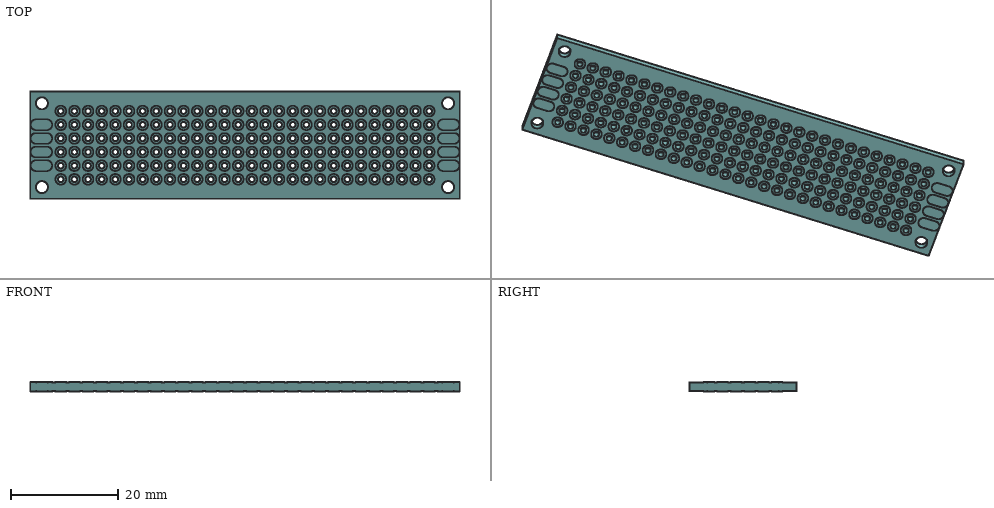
import cadquery as cq

length = 80.0
width = 20.0
overall_thickness = 1.8

pad_height = 0.1
board_thickness = overall_thickness - 2 * pad_height

grid_pitch = 2.54
grid_columns = 28
grid_rows = 6
pad_diameter = 2.0
pin_hole_diameter = 1.0

end_pad_length = 4.0
end_pad_width = pad_diameter
end_pad_rows = grid_rows - 2
end_pad_edge_gap = 0.1
end_pad_x = length / 2 - end_pad_edge_gap - end_pad_length / 2

mount_hole_diameter = 2.2
mount_hole_inset = 2.2


def make_board():
    """Plain rectangular board, centred on the origin."""
    return cq.Workplane("XY").box(length, width, board_thickness)


def make_pads(bottom):
    """Round grid pads and long end pads, standing on the plane z = bottom."""
    plane = cq.Workplane("XY").workplane(offset=bottom)
    round_pads = (
        plane.rarray(grid_pitch, grid_pitch, grid_columns, grid_rows)
        .circle(pad_diameter / 2)
        .extrude(pad_height)
    )
    end_pads = (
        plane.rarray(2 * end_pad_x, grid_pitch, 2, end_pad_rows)
        .slot2D(end_pad_length, end_pad_width)
        .extrude(pad_height)
    )
    return round_pads.add(end_pads).combine()


def drill_pin_holes(body):
    """Through hole in the middle of every round pad."""
    holes = (
        cq.Workplane("XY")
        .workplane(offset=-overall_thickness / 2)
        .rarray(grid_pitch, grid_pitch, grid_columns, grid_rows)
        .circle(pin_hole_diameter / 2)
        .extrude(overall_thickness)
    )
    return body.cut(holes)


def drill_mount_holes(body):
    """Through hole near each corner."""
    spacing_x = length - 2 * mount_hole_inset
    spacing_y = width - 2 * mount_hole_inset
    holes = (
        cq.Workplane("XY")
        .workplane(offset=-overall_thickness / 2)
        .rarray(spacing_x, spacing_y, 2, 2)
        .circle(mount_hole_diameter / 2)
        .extrude(overall_thickness)
    )
    return body.cut(holes)


board = make_board()
top_pads = make_pads(board_thickness / 2)
bottom_pads = make_pads(-board_thickness / 2 - pad_height)
padded_board = board.union(top_pads).union(bottom_pads)
result = drill_mount_holes(drill_pin_holes(padded_board))